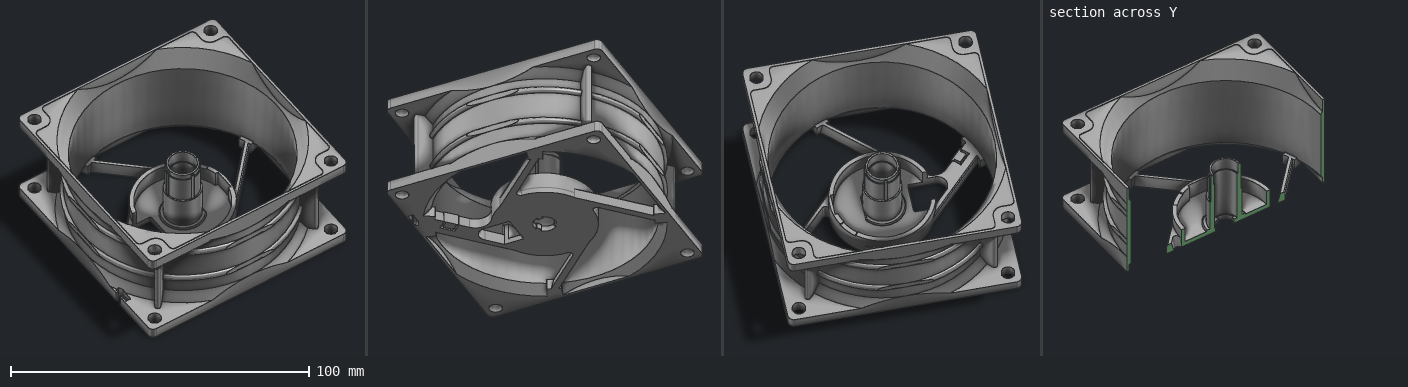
import cadquery as cq
import math

select_margin = 0.1

side = 80.0
height = 38.0
flange = 4.0
corner_radius = 2.0
hole_pitch = 71.5
hole_diameter = 4.5
ring_overhang = 0.11

bore_radius = 38.3
barrel_radius = side / 2
flare_height = 3.0
flare_radius = 42.8
inlet_radius = 42.3
inlet_height = 6.5
outlet_radius = 41.0
outlet_height = 3.4
rim_width = 1.0
recess_depth = 0.2
pad_size = 9.0
pad_radius = 3.5
recess_corner_radius = 1.5
ring_radius = 1.15
ring_heights = (13.65, 26.3)

rib_width = 2.0
rib_reach = 46.2

notch_x = 20.2
notch_mouth = 2.5
notch_throat = 1.4
notch_lip = 0.7
pocket_left = 18.0
pocket_right = 24.0
pocket_back = 37.5
pocket_inner_radius = 42.3

hub_radius = 18.0
hub_wall = 1.6
hub_height = 8.0
floor_thickness = 2.0
wall_relief_width = 7.7
wall_relief_reach = 16.9
wall_step_depth = 0.5
wall_step_angles = (117.0, 138.5)

strut_height = 4.0
strut_angle = 137.0
wide_angle = strut_angle + 180
strut_outer = 17.55
strut_inner = 15.15
wide_inner = 10.8
wide_slope = 0.4
strut_fillet = 1.3
wide_fillet = 5.5
strut_slope = 0.9
edge_chamfer = 0.4
foot_inner = 36.9
foot_root = 42.3
foot_half_angle = 3.8
foot_angle = -25.8
wide_foot_half_angle = 8.5
wide_foot_angle = -23.0

window_left = -4.46
window_right = 6.57
window_top = -10.0
window_wall = 15.6
window_end_radius = 3.5
window_corner_radius = 0.6
clip_start = 26.7
clip_end = 32.0
clip_near = 11.6
clip_far = 14.6
clip_gap = 0.75

collar_radius = 8.0
collar_height = 0.6
collar_flat = 6.5
collar_chamfer = 0.4
base_radius = 6.55
base_top = 14.7
sleeve_radius = 6.0
sleeve_top = 24.6
rim_radius = 5.6
tube_top = 26.6
key_radius = 6.15
key_width = 1.1
key_top = 26.0
tube_bore = 4.9
seat_bore = 4.5
seat_top = 22.0
floor_bore = 4.0
nub_tip = 3.2
nub_width = 1.8


def disc(radius, bottom, top):
    return cq.Workplane("XY").workplane(offset=bottom).circle(radius).extrude(top - bottom)


def cone(bottom_radius, top_radius, bottom, top):
    return cq.Workplane(cq.Solid.makeCone(bottom_radius, top_radius, top - bottom, cq.Vector(0, 0, bottom)))


def block(x0, x1, y0, y1, z0, z1):
    return cq.Workplane("XY").box(x1 - x0, y1 - y0, z1 - z0, centered=False).translate((x0, y0, z0))


def sector(inner, outer, start, end, bottom, top):
    """Ring segment between two angles in degrees."""
    def at(radius, angle):
        radians = math.radians(angle)
        return (radius * math.cos(radians), radius * math.sin(radians))

    middle = (start + end) / 2
    return (
        cq.Workplane("XY").workplane(offset=bottom)
        .moveTo(*at(inner, start))
        .lineTo(*at(outer, start))
        .threePointArc(at(outer, middle), at(outer, end))
        .lineTo(*at(inner, end))
        .threePointArc(at(inner, middle), at(inner, start))
        .close().extrude(top - bottom)
    )


def square_prism(width, bottom, top):
    return cq.Workplane("XY").workplane(offset=bottom).rect(width, width).extrude(top - bottom)


def turn(body, angle):
    """Body turned about the fan axis by an angle in degrees."""
    return body.rotate((0, 0, 0), (0, 0, 1), angle)


def make_shell():
    """Barrel, rings, outer cones, corner ribs and the two flanges, still solid inside."""
    shell = disc(barrel_radius, 0, height)
    flare_bottom = flange + flare_height
    shell = shell.union(cone(flare_radius, barrel_radius, flange, flare_bottom))
    shell = shell.union(cone(barrel_radius, flare_radius, height - flare_bottom, height - flange))
    shell = shell.intersect(square_prism(side, 0, height))
    for level in ring_heights:
        ring = cq.Workplane(cq.Solid.makeTorus(barrel_radius, ring_radius, cq.Vector(0, 0, level)))
        trim = block(-side / 2, side / 2, -side / 2 - ring_overhang, side / 2, 0, height)
        shell = shell.union(ring.intersect(trim))
    rib_length = rib_reach - rib_width / 2
    for corner in range(4):
        rib = block(bore_radius, rib_length, -rib_width / 2, rib_width / 2, 0, height)
        rib = rib.union(disc(rib_width / 2, 0, height).translate((rib_length, 0, 0)))
        shell = shell.union(turn(rib, 45 + 90 * corner))
    for bottom in (0, height - flange):
        plate = square_prism(side, bottom, bottom + flange).edges("|Z").fillet(corner_radius)
        shell = shell.union(plate)
    return shell


def cut_openings(shell):
    """Bore with its end cones, the screw holes and the shallow recess in the top face."""
    opening_width = side - 2 * rim_width
    ends = cone(outlet_radius, bore_radius, 0, outlet_height)
    ends = ends.union(cone(bore_radius, inlet_radius, height - inlet_height, height))
    ends = ends.intersect(square_prism(opening_width, 0, height))
    shell = shell.cut(ends).cut(disc(bore_radius, 0, height))

    recess = square_prism(opening_width, height - recess_depth, height)
    pad_centre = side / 2 - pad_size / 2
    for sx in (-1, 1):
        for sy in (-1, 1):
            pad = cq.Workplane("XY").rect(pad_size, pad_size).extrude(height)
            recess = recess.cut(pad.translate((sx * pad_centre, sy * pad_centre, 0)))
    inner = side / 2 - pad_size + select_margin
    inner_corners = cq.selectors.BoxSelector((-inner, -inner, 0), (inner, inner, 2 * height))
    recess = recess.edges(inner_corners).edges("|Z").fillet(pad_radius)
    recess = recess.edges("|Z and (<X or >X or <Y or >Y)").fillet(recess_corner_radius)
    shell = shell.cut(recess)

    holes = cq.Workplane("XY").rect(hole_pitch, hole_pitch, forConstruction=True).vertices()
    return shell.cut(holes.circle(hole_diameter / 2).extrude(height))


def cut_cable_notch(shell):
    """Tapered mouth in the -Y edge of the bottom flange, opening into a pocket behind it."""
    face = -side / 2
    top = flange + flare_height
    mouth = (
        cq.Workplane("XY")
        .moveTo(notch_x - notch_mouth / 2, face)
        .lineTo(notch_x + notch_mouth / 2, face)
        .lineTo(notch_x + notch_throat / 2, face + notch_lip)
        .lineTo(notch_x - notch_throat / 2, face + notch_lip)
        .close().extrude(top)
    )
    pocket = block(pocket_left, pocket_right, face + notch_lip, -pocket_back, 0, top)
    pocket = pocket.cut(disc(pocket_inner_radius, 0, top))
    return shell.cut(mouth).cut(pocket)


def make_strut(inner, slope, fillet, foot_middle, foot_half):
    """Strut along +X beside the fan axis, blended into a hub disc, with its foot in the bore wall."""
    reach = math.sqrt(bore_radius ** 2 - inner ** 2)
    bar = (
        cq.Workplane("YZ")
        .moveTo(-strut_outer, 0)
        .lineTo(-inner, 0)
        .lineTo(-inner - slope, strut_height)
        .lineTo(-strut_outer + edge_chamfer, strut_height)
        .lineTo(-strut_outer, strut_height - edge_chamfer)
        .close().extrude(reach)
    )
    bar = bar.union(disc(hub_radius, 0, strut_height))
    corner_x = math.sqrt(hub_radius ** 2 - inner ** 2)
    corner = cq.selectors.BoxSelector(
        (corner_x - hub_wall, -inner - slope - select_margin, -select_margin),
        (corner_x + hub_wall, -inner + select_margin, strut_height + select_margin),
        True,
    )
    bar = bar.edges(corner).edges("not #Z").fillet(fillet)
    foot = sector(foot_inner, foot_root, foot_middle - foot_half, foot_middle + foot_half, 0, strut_height)
    return bar.union(foot)


def make_hub():
    """Cup carrying the motor: floor, wall with a relief at +Y and a lowered stretch."""
    hub = disc(hub_radius, 0, hub_height)
    hub = hub.cut(disc(hub_radius - hub_wall, floor_thickness, hub_height))
    relief = block(
        -wall_relief_width / 2, wall_relief_width / 2, 0, wall_relief_reach, floor_thickness, hub_height
    )
    step_inner = hub_radius - 2 * hub_wall
    step_outer = hub_radius + hub_wall
    step_bottom = hub_height - wall_step_depth
    step = sector(step_inner, step_outer, *wall_step_angles, step_bottom, hub_height)
    return hub.cut(relief).cut(step)


def make_window():
    """Opening for the wires: square at the hub, rounded where it runs into the wide strut."""
    normal_x = math.sin(math.radians(wide_angle))
    normal_y = -math.cos(math.radians(wide_angle))
    end_x = window_right - window_end_radius
    end_y = (window_wall - window_end_radius - normal_x * end_x) / normal_y
    half_turn_x = normal_x + 1
    half_turn_length = math.hypot(half_turn_x, normal_y)
    wall_y = (window_wall - normal_x * window_left) / normal_y
    return (
        cq.Workplane("XY")
        .moveTo(window_left, window_top)
        .lineTo(window_right, window_top)
        .lineTo(window_right, end_y)
        .threePointArc(
            (
                end_x + window_end_radius * half_turn_x / half_turn_length,
                end_y + window_end_radius * normal_y / half_turn_length,
            ),
            (end_x + window_end_radius * normal_x, end_y + window_end_radius * normal_y),
        )
        .lineTo(window_left, wall_y)
        .close().extrude(hub_height)
        .edges("|Z and >Y").fillet(window_corner_radius)
    )


def make_clip_slot():
    """U-shaped slot that frees the cable clip tongue of the wide strut."""
    slot = block(clip_start, clip_end, -clip_far, -clip_near, 0, strut_height)
    tongue_start = clip_start + clip_gap
    tongue_end = clip_end - clip_gap
    tongue = block(tongue_start, tongue_end, -clip_far + clip_gap, -clip_near, 0, strut_height)
    return slot.cut(tongue)


def make_tube():
    """Stepped tube for the bearing on a chamfered collar, with four keys along its sides."""
    tube = disc(collar_radius, 0, floor_thickness + collar_height)
    tube = tube.cut(block(-collar_radius, collar_radius, collar_flat, collar_radius, 0, hub_height))
    tube = tube.faces(">Z").chamfer(collar_chamfer)
    tube = tube.union(disc(base_radius, 0, base_top))
    tube = tube.union(disc(sleeve_radius, 0, sleeve_top))
    tube = tube.union(disc(rim_radius, 0, tube_top))
    for quarter in range(4):
        key = block(0, 2 * key_radius, -key_width / 2, key_width / 2, 0, key_top)
        tube = tube.union(turn(key, 90 * quarter).intersect(disc(key_radius, 0, key_top)))
    return tube


def make_tube_bore():
    """Stepped bore through the tube and floor, leaving three nubs in the floor hole."""
    bore = disc(floor_bore, 0, tube_top)
    for third in range(3):
        nub = block(nub_tip, seat_bore, -nub_width / 2, nub_width / 2, 0, floor_thickness)
        bore = bore.cut(turn(nub, 120 * third))
    bore = bore.union(disc(seat_bore, floor_thickness, tube_top))
    return bore.union(disc(tube_bore, seat_top, tube_top))


def make_struts():
    """Three slim struts and the wide one, with their feet, around a solid hub disc."""
    wide_strut = make_strut(wide_inner, wide_slope, wide_fillet, wide_foot_angle, wide_foot_half_angle)
    clip_back = block(clip_start, clip_end, -clip_near, -wide_inner, 0, strut_height)
    struts = turn(wide_strut.union(clip_back).cut(make_clip_slot()), wide_angle)
    slim_strut = make_strut(strut_inner, strut_slope, strut_fillet, foot_angle, foot_half_angle)
    for step in (-90, 0, 90):
        struts = struts.union(turn(slim_strut, strut_angle + step))
    return struts.intersect(square_prism(side, 0, strut_height))


frame = cut_openings(make_shell())
motor_space = disc(hub_radius, floor_thickness, hub_height)
motor_seat = make_struts().cut(motor_space).union(make_hub()).cut(make_window())
motor_seat = motor_seat.union(make_tube()).cut(make_tube_bore())
result = cut_cable_notch(frame.union(motor_seat))